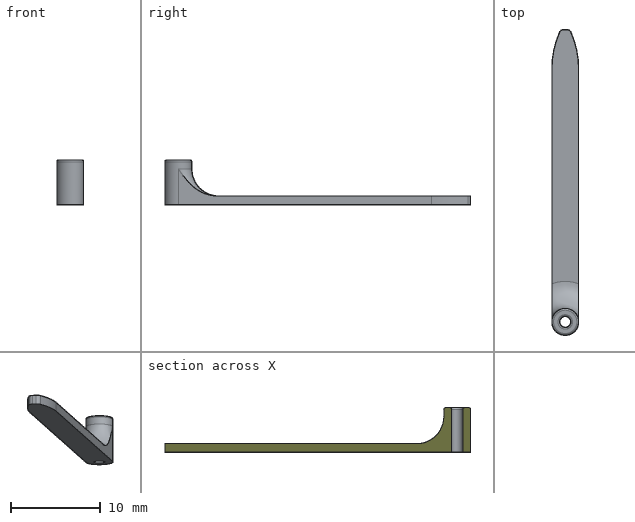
import cadquery as cq
import math

width = 3.0
length = 34.0
post_height = 5.0
arm_thickness = 1.0

post_radius = width / 2
hole_diameter = 1.2
rim_fillet = 0.2
root_fillet = 3.0

tip_y = length - post_radius
tip_half_width = 0.5
tip_side_radius = 10.0
tip_corner_radius = 0.5


def make_arm():
    """Flat arm whose sides curve inward, tangent to the straight edges, to a blunt rounded tip."""
    half_width = width / 2
    side_center_x = half_width - tip_side_radius
    taper_length = math.sqrt(tip_side_radius**2 - (tip_half_width - side_center_x) ** 2)
    taper_start_y = tip_y - taper_length
    half_angle = math.asin(taper_length / tip_side_radius) / 2
    side_mid_x = side_center_x + tip_side_radius * math.cos(half_angle)
    side_mid_y = taper_start_y + tip_side_radius * math.sin(half_angle)

    blank = (
        cq.Workplane("XY")
        .moveTo(-half_width, 0)
        .lineTo(half_width, 0)
        .lineTo(half_width, taper_start_y)
        .threePointArc((side_mid_x, side_mid_y), (tip_half_width, tip_y))
        .lineTo(-tip_half_width, tip_y)
        .threePointArc((-side_mid_x, side_mid_y), (-half_width, taper_start_y))
        .close()
        .extrude(arm_thickness)
    )
    return blank.edges("|Z and >Y").fillet(tip_corner_radius)


def make_post():
    """Plain round post."""
    return cq.Workplane("XY").circle(post_radius).extrude(post_height)


def make_root_fillet():
    """Concave flare around the post, kept only over the width of the arm."""
    flare_radius = post_radius + root_fillet
    flare_top = arm_thickness + root_fillet
    arc_offset = root_fillet * (1 - math.sqrt(0.5))
    flare = (
        cq.Workplane("XZ")
        .lineTo(flare_radius, 0)
        .lineTo(flare_radius, arm_thickness)
        .threePointArc((post_radius + arc_offset, arm_thickness + arc_offset), (post_radius, flare_top))
        .lineTo(0, flare_top)
        .close()
        .revolve(360, (0, 0, 0), (0, 1, 0))
    )
    arm_zone = cq.Workplane("XY").box(width, flare_radius, flare_top, centered=(True, False, False))
    return flare.intersect(arm_zone)


def make_hole():
    """Through-hole along the post axis."""
    return cq.Workplane("XY").circle(hole_diameter / 2).extrude(post_height)


body = make_arm().union(make_root_fillet()).union(make_post()).cut(make_hole())

result = body.faces(">Z").edges().fillet(rim_fillet)